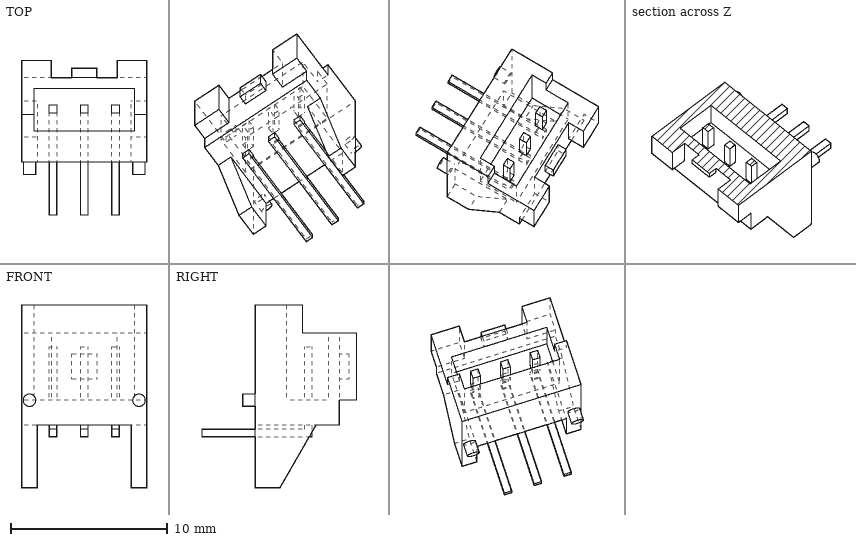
import cadquery as cq


WIDTH = 8.0
LEG_HEIGHT = 4.0
LEG_WIDTH = 1.0
LEG_TIP_DEPTH = 1.6
LEG_ROOT_DEPTH = 3.9
FRONT_WALL_DEPTH = 3.05
BODY_DEPTH = 5.4
EAR_DEPTH = 6.5
EAR_BOTTOM = 5.6
REAR_TOP = 9.9
TOTAL_HEIGHT = 11.7
EAR_GAP = 4.2

CAVITY_WIDTH = 6.4
CAVITY_FRONT = 2.0
CAVITY_REAR = 4.7
CAVITY_FLOOR = EAR_BOTTOM

TAB_WIDTH = 1.6
TAB_HEIGHT = 1.6
TAB_DEPTH = 6.0
TAB_MIDDLE = (EAR_BOTTOM + REAR_TOP) / 2

PEG_DIAMETER = 0.8
PEG_LENGTH = 0.8
PEG_EDGE_DISTANCE = 0.5
PEG_HEIGHT = EAR_BOTTOM

PIN_COUNT = 3
PIN_PITCH = 2.0
PIN_SIZE = 0.5
PIN_REAR = 3.65
PIN_BOTTOM = 3.25
PIN_EXPOSED_HEIGHT = 3.4
PIN_TOP = CAVITY_FLOOR + PIN_EXPOSED_HEIGHT
PIN_REACH = 3.4


def block(width, y_range, z_range, x_middle=0.0):
    """Box centred on x_middle that spans the given Y and Z ranges."""
    depth = y_range[1] - y_range[0]
    height = z_range[1] - z_range[0]
    corner = (x_middle - width / 2, y_range[0], z_range[0])
    return cq.Workplane("XY").box(width, depth, height, centered=False).translate(corner)


def make_housing():
    """Side outline across the full width, opened between ears and legs and hollowed from above."""
    outline = [
        (0, 0),
        (LEG_TIP_DEPTH, 0),
        (LEG_ROOT_DEPTH, LEG_HEIGHT),
        (BODY_DEPTH, LEG_HEIGHT),
        (BODY_DEPTH, EAR_BOTTOM),
        (EAR_DEPTH, EAR_BOTTOM),
        (EAR_DEPTH, REAR_TOP),
        (FRONT_WALL_DEPTH, REAR_TOP),
        (FRONT_WALL_DEPTH, TOTAL_HEIGHT),
        (0, TOTAL_HEIGHT),
    ]
    solid = cq.Workplane("YZ").polyline(outline).close().extrude(WIDTH / 2, both=True)
    leg_opening = block(WIDTH - 2 * LEG_WIDTH, (0, LEG_ROOT_DEPTH), (0, LEG_HEIGHT))
    ear_opening = block(EAR_GAP, (BODY_DEPTH, EAR_DEPTH), (EAR_BOTTOM, REAR_TOP))
    cavity = block(CAVITY_WIDTH, (CAVITY_FRONT, CAVITY_REAR), (CAVITY_FLOOR, TOTAL_HEIGHT))
    return solid.cut(leg_opening).cut(ear_opening).cut(cavity)


def make_latch_tab():
    """Tab that stands out from the rear wall."""
    z_range = (TAB_MIDDLE - TAB_HEIGHT / 2, TAB_MIDDLE + TAB_HEIGHT / 2)
    return block(TAB_WIDTH, (BODY_DEPTH, TAB_DEPTH), z_range)


def make_pegs():
    """Round pegs near both side edges, pointing along -Y."""
    offset = WIDTH / 2 - PEG_EDGE_DISTANCE
    centres = [(-offset, PEG_HEIGHT), (offset, PEG_HEIGHT)]
    return cq.Workplane("XZ").pushPoints(centres).circle(PEG_DIAMETER / 2).extrude(PEG_LENGTH)


def make_pin(x_middle):
    """L-shaped pin: upright in the cavity, bent forward below the housing floor."""
    upright = block(PIN_SIZE, (PIN_REAR - PIN_SIZE, PIN_REAR), (PIN_BOTTOM, PIN_TOP), x_middle)
    tail = block(PIN_SIZE, (-PIN_REACH, PIN_REAR), (PIN_BOTTOM, PIN_BOTTOM + PIN_SIZE), x_middle)
    return upright.union(tail)


result = make_housing().union(make_latch_tab()).union(make_pegs())
for index in range(PIN_COUNT):
    pin_x = (index - (PIN_COUNT - 1) / 2) * PIN_PITCH
    result = result.union(make_pin(pin_x))